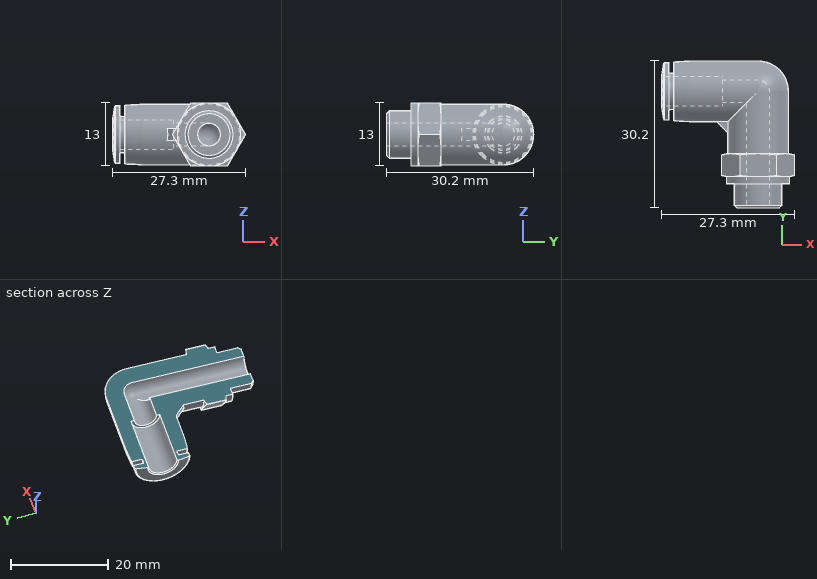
import cadquery as cq
import math

overall_y = 30.25
overall_x = 27.32
body_radius = 6.25
bore_radius = 2.33

thread_end = overall_y - body_radius
thread_radius = 4.9
thread_chamfer = 0.6
hex_flats = 13.0
hex_corners = hex_flats / math.cos(math.pi / 6)
hex_start = 12.8
hex_end = 17.5
hex_chamfer_depth = 0.25
washer_end = 18.97
washer_radius = hex_flats / 2

tube_end = overall_x - hex_corners / 2
taper_start = 13.75
collar_start = 16.73
collar_end = 17.4
collar_large_radius = 6.1
collar_small_radius = 6.02
collar_chamfer = 0.12
neck_radius = 3.75
neck_root_radius = 3.85
neck_root_end = 17.97
flange_start = 18.33
flange_rim = 19.2
flange_chamfer = 0.2
flange_radius = 5.93
mouth_radius = 3.3
tube_bore_radius = 3.02
mouth_depth = 0.27
tube_stop = 7.25

web_width = 2.45
web_leg = 2.2


def revolve_tube_leg(profile):
    """Revolve (distance along -X, radius) points about the X axis."""
    points = [(-distance, radius) for distance, radius in profile]
    return cq.Workplane("XY").polyline(points).close().revolve(360, (0, 0), (1, 0))


def revolve_threaded_leg(profile):
    """Revolve (radius, distance along -Y) points about the Y axis."""
    points = [(radius, -distance) for radius, distance in profile]
    return cq.Workplane("XY").polyline(points).close().revolve(360, (0, 0), (0, 1))


def make_tube_leg():
    return revolve_tube_leg([
        (0, 0),
        (0, body_radius),
        (taper_start, body_radius),
        (collar_start, collar_large_radius),
        (collar_end - collar_chamfer, collar_small_radius),
        (collar_end, collar_small_radius - collar_chamfer),
        (collar_end, neck_radius),
        (neck_root_end, neck_radius),
        (flange_start, neck_root_radius),
        (flange_start, flange_radius),
        (flange_rim, flange_radius),
        (flange_rim + flange_chamfer, flange_radius - flange_chamfer),
        (tube_end, mouth_radius),
        (tube_end, 0),
    ])


def make_threaded_leg():
    return revolve_threaded_leg([
        (0, 0),
        (body_radius, 0),
        (body_radius, hex_end),
        (washer_radius, hex_end),
        (washer_radius, washer_end),
        (thread_radius, washer_end),
        (thread_radius, thread_end - thread_chamfer),
        (thread_radius - thread_chamfer, thread_end),
        (0, thread_end),
    ])


def make_hex():
    """Hexagon with its corners along X, bevelled at both ends."""
    prism = (
        cq.Workplane("XZ", origin=(0, -hex_start, 0))
        .polygon(6, hex_corners)
        .extrude(hex_end - hex_start)
    )
    bevel = revolve_threaded_leg([
        (0, hex_start),
        (hex_flats / 2, hex_start),
        (hex_corners / 2, hex_start + hex_chamfer_depth),
        (hex_corners / 2, hex_end - hex_chamfer_depth),
        (hex_flats / 2, hex_end),
        (0, hex_end),
    ])
    return prism.intersect(bevel)


def make_web():
    """Triangular web bridging the inner corner, with its root inside the legs."""
    apex = body_radius + web_leg
    root = body_radius / 2
    reach = apex + body_radius - root
    return (
        cq.Workplane("XY")
        .polyline([(-root, -root), (-reach, -root), (-root, -reach)])
        .close()
        .extrude(web_width / 2, both=True)
    )


def make_bores():
    tube_bore = revolve_tube_leg([
        (0, 0),
        (0, bore_radius),
        (tube_stop, bore_radius),
        (tube_stop, tube_bore_radius),
        (tube_end - mouth_depth, tube_bore_radius),
        (tube_end, mouth_radius),
        (tube_end, 0),
    ])
    thread_bore = cq.Workplane("XZ").circle(bore_radius).extrude(thread_end)
    return tube_bore.union(thread_bore).union(cq.Workplane("XY").sphere(bore_radius))


result = (
    make_tube_leg()
    .union(make_threaded_leg())
    .union(cq.Workplane("XY").sphere(body_radius))
    .union(make_hex())
    .union(make_web())
    .cut(make_bores())
)